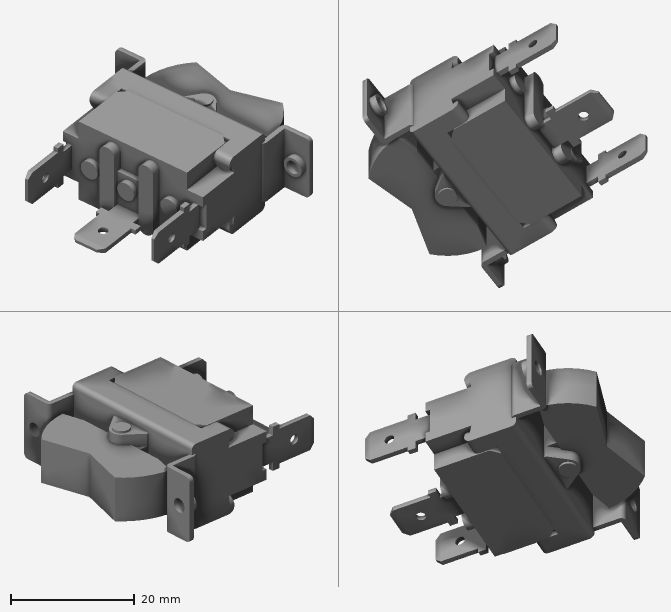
import cadquery as cq
import math


SHEET = 0.9

HOUSING_HALF_LENGTH = 14.4
HOUSING_TOP = 15.55
END_HALF_HEIGHT = 4.48
BLOCK_HALF_LENGTH = 11.15
BLOCK_HALF_HEIGHT = 8.0
BLOCK_TOP = 11.4
BLOCK_CHAMFER = 1.43

RIB_WIDTH = 3.0
RIB_LENGTH = 14.17
RIB_HEIGHT = 1.75
RIB_X = 4.0

ROCKER_RADIUS = 13.05
ROCKER_HALF_HEIGHT = 4.05
SADDLE_HALF_HEIGHT = 3.65
ROCKER_TIP_RISE = 9.53
ROCKER_VALLEY_RISE = 7.0
ROCKER_CORNER_RISE = 1.05
PIVOT_Y = 18.8
POST_HALF_LENGTH = 4.05
POST_HALF_HEIGHT = 6.03
POST_WALL = 0.4
EAR_RADIUS = 2.05
PIN_RADIUS = 1.55
PIN_PROTRUSION = 0.4

BRACKET_HALF_SPAN = 20.0
BRACKET_HALF_HEIGHT = 7.85
BRACKET_TOP = HOUSING_TOP + SHEET
LEG_INNER_Z = BRACKET_HALF_HEIGHT - SHEET
TAB_INNER_X = 13.95
TAB_OUTER_X = TAB_INNER_X + SHEET
TAB_HALF_HEIGHT = POST_HALF_HEIGHT
FLANGE_TOP = 22.0
FLANGE_CORNER_RADIUS = 0.85
EYELET_X = 17.45
EYELET_RADIUS = 1.85
EYELET_HEIGHT = 1.22
EYELET_HOLE_RADIUS = 1.25
HOOK_BEND_Y = 8.3
HOOK_BEND_RADIUS = 1.25
HOOK_BEND_INNER_RADIUS = HOOK_BEND_RADIUS - SHEET
HOOK_BEND_ANGLE = math.radians(101)

PLATE_LENGTH = 7.7
PLATE_HALF_WIDTH = 2.5
RIVET_RADIUS = 1.7
RIVET_HEIGHT = 1.05
RIVET_OFFSET = 5.25
BLADE_LENGTH = 12.38
BLADE_HALF_WIDTH = 3.2
STOP_HALF_WIDTH = 4.07
STOP_START = 3.18
STOP_END = 4.6
BLADE_TIP = 0.98
BLADE_TIP_BEVEL = 0.15
BLADE_HOLE_DEPTH = 7.9
BLADE_HOLE_RADIUS = 0.85
END_BLADE_X = 13.45
CENTRE_BLADE_Z = -RIVET_OFFSET


def box(x0, x1, y0, y1, z0, z1):
    """Box between two opposite corners."""
    return cq.Workplane("XY").box(x1 - x0, y1 - y0, z1 - z0, centered=False).translate((x0, y0, z0))


def centred_box(half_x, y0, y1, half_z):
    """Box centred on X = 0 and Z = 0."""
    return box(-half_x, half_x, y0, y1, -half_z, half_z)


def y_cylinder(x, z, radius, y0, y1):
    """Cylinder along Y."""
    return cq.Workplane("XZ", origin=(x, y0, z)).circle(radius).extrude(y0 - y1)


def hook_bend_point(radius, angle):
    """Point (Y, Z) on the bend of the +Z hooks, at an angle measured from the end of the leg."""
    centre_z = BRACKET_HALF_HEIGHT - HOOK_BEND_RADIUS
    return (HOOK_BEND_Y - radius * math.sin(angle), centre_z + radius * math.cos(angle))


def make_shoulder():
    """Upper half of the housing between the bracket legs, with the ledge that the hooks grip."""
    bend_mid = hook_bend_point(HOOK_BEND_INNER_RADIUS, HOOK_BEND_ANGLE / 2)
    bend_end = hook_bend_point(HOOK_BEND_INNER_RADIUS, HOOK_BEND_ANGLE)
    ledge_y = bend_end[0] - (bend_end[1] - END_HALF_HEIGHT) / math.tan(HOOK_BEND_ANGLE)
    return (
        cq.Workplane("YZ")
        .moveTo(HOUSING_TOP, 0)
        .lineTo(HOUSING_TOP, LEG_INNER_Z)
        .lineTo(HOOK_BEND_Y, LEG_INNER_Z)
        .threePointArc(bend_mid, bend_end)
        .lineTo(ledge_y, END_HALF_HEIGHT)
        .lineTo(ledge_y, 0)
        .close()
        .extrude(HOUSING_HALF_LENGTH, both=True)
    )


def make_ears():
    """Post standing on the housing, rounded about the pivot, with the pivot pin ends."""
    wall_top = BRACKET_TOP + POST_WALL
    corner_drop = PIVOT_Y - wall_top
    corner_distance = math.hypot(POST_HALF_LENGTH, corner_drop)
    tangent_angle = math.acos(EAR_RADIUS / corner_distance) - math.atan2(corner_drop, POST_HALF_LENGTH)
    tangent_x = EAR_RADIUS * math.cos(tangent_angle)
    tangent_y = PIVOT_Y + EAR_RADIUS * math.sin(tangent_angle)
    ears = (
        cq.Workplane("XY")
        .moveTo(-POST_HALF_LENGTH, HOUSING_TOP)
        .lineTo(POST_HALF_LENGTH, HOUSING_TOP)
        .lineTo(POST_HALF_LENGTH, wall_top)
        .lineTo(tangent_x, tangent_y)
        .threePointArc((0, PIVOT_Y + EAR_RADIUS), (-tangent_x, tangent_y))
        .lineTo(-POST_HALF_LENGTH, wall_top)
        .close()
        .extrude(POST_HALF_HEIGHT, both=True)
    )
    saddle = centred_box(POST_HALF_LENGTH, HOUSING_TOP, PIVOT_Y, SADDLE_HALF_HEIGHT)
    pin = (
        cq.Workplane("XY", origin=(0, PIVOT_Y, 0))
        .circle(PIN_RADIUS)
        .extrude(POST_HALF_HEIGHT + PIN_PROTRUSION, both=True)
    )
    return ears.union(saddle).union(pin)


def make_rocker():
    """Winged rocker whose flanks are arcs about the pivot."""
    tip_x = math.sqrt(ROCKER_RADIUS**2 - ROCKER_TIP_RISE**2)
    corner_x = math.sqrt(ROCKER_RADIUS**2 - ROCKER_CORNER_RISE**2)
    tip_angle = math.asin(ROCKER_TIP_RISE / ROCKER_RADIUS)
    corner_angle = math.asin(ROCKER_CORNER_RISE / ROCKER_RADIUS)
    mid_angle = (tip_angle + corner_angle) / 2
    mid_x = ROCKER_RADIUS * math.cos(mid_angle)
    mid_rise = ROCKER_RADIUS * math.sin(mid_angle)
    return (
        cq.Workplane("XY", origin=(0, PIVOT_Y, 0))
        .moveTo(-tip_x, 0)
        .lineTo(tip_x, 0)
        .lineTo(corner_x, ROCKER_CORNER_RISE)
        .threePointArc((mid_x, mid_rise), (tip_x, ROCKER_TIP_RISE))
        .lineTo(0, ROCKER_VALLEY_RISE)
        .lineTo(-tip_x, ROCKER_TIP_RISE)
        .threePointArc((-mid_x, mid_rise), (-corner_x, ROCKER_CORNER_RISE))
        .close()
        .extrude(ROCKER_HALF_HEIGHT, both=True)
    )


def make_housing():
    """Switch housing in one piece with its ribs, pivot post and rocker."""
    block = centred_box(BLOCK_HALF_LENGTH, 0, BLOCK_TOP, BLOCK_HALF_HEIGHT)
    block = block.faces(">Y").edges("|Z").chamfer(BLOCK_CHAMFER)
    shoulder = make_shoulder()
    housing = (
        centred_box(HOUSING_HALF_LENGTH, 0, HOUSING_TOP, END_HALF_HEIGHT)
        .union(shoulder)
        .union(shoulder.mirror("XY"))
        .union(block)
    )
    recess_inner_x = END_BLADE_X - PLATE_LENGTH
    for side in (-1, 1):
        rib = (
            cq.Workplane("XZ", origin=(side * RIB_X, 0, 0))
            .slot2D(RIB_LENGTH, RIB_WIDTH, 90)
            .extrude(RIB_HEIGHT)
        )
        recess_ends = sorted((side * recess_inner_x, side * HOUSING_HALF_LENGTH))
        recess = box(*recess_ends, 0, SHEET, -PLATE_HALF_WIDTH, PLATE_HALF_WIDTH)
        housing = housing.union(rib).cut(recess)
    return housing.union(make_ears()).union(make_rocker())


def make_hook():
    """Hook at +X, +Z: a leg end bent inward over the housing shoulder, with a round tip."""
    width = HOUSING_HALF_LENGTH - BLOCK_HALF_LENGTH
    outer_start = hook_bend_point(HOOK_BEND_RADIUS, 0)
    outer_mid = hook_bend_point(HOOK_BEND_RADIUS, HOOK_BEND_ANGLE / 2)
    outer_end = hook_bend_point(HOOK_BEND_RADIUS, HOOK_BEND_ANGLE)
    inner_start = hook_bend_point(HOOK_BEND_INNER_RADIUS, 0)
    inner_mid = hook_bend_point(HOOK_BEND_INNER_RADIUS, HOOK_BEND_ANGLE / 2)
    inner_end = hook_bend_point(HOOK_BEND_INNER_RADIUS, HOOK_BEND_ANGLE)
    bend = (
        cq.Workplane("YZ", origin=(BLOCK_HALF_LENGTH, 0, 0))
        .moveTo(*outer_start)
        .threePointArc(outer_mid, outer_end)
        .lineTo(*inner_end)
        .threePointArc(inner_mid, inner_start)
        .close()
        .extrude(width)
    )
    tip_plane = cq.Plane(
        origin=(BLOCK_HALF_LENGTH + width / 2, *outer_end),
        xDir=(1, 0, 0),
        normal=(0, math.sin(HOOK_BEND_ANGLE), -math.cos(HOOK_BEND_ANGLE)),
    )
    tip = (
        cq.Workplane(tip_plane)
        .moveTo(-width / 2, 0)
        .threePointArc((0, width / 2), (width / 2, 0))
        .close()
        .extrude(SHEET)
    )
    return bend.union(tip)


def make_tab():
    """Mounting tab at +X: an upright wall, an outward flange and an eyelet."""
    wall = box(TAB_INNER_X, TAB_OUTER_X, BRACKET_TOP, FLANGE_TOP, -TAB_HALF_HEIGHT, TAB_HALF_HEIGHT)
    flange = box(
        TAB_INNER_X, BRACKET_HALF_SPAN, FLANGE_TOP - SHEET, FLANGE_TOP, -TAB_HALF_HEIGHT, TAB_HALF_HEIGHT
    )
    flange = flange.faces(">X").edges("|Y").fillet(FLANGE_CORNER_RADIUS)
    tab = wall.union(flange)
    tab = tab.faces("<X").edges(">Y").fillet(SHEET)
    foot = (
        cq.Workplane("XY", origin=(TAB_INNER_X, BRACKET_TOP, 0))
        .circle(SHEET)
        .extrude(TAB_HALF_HEIGHT, both=True)
        .intersect(
            box(TAB_INNER_X, TAB_OUTER_X, HOUSING_TOP, BRACKET_TOP, -TAB_HALF_HEIGHT, TAB_HALF_HEIGHT)
        )
    )
    eyelet = y_cylinder(EYELET_X, 0, EYELET_RADIUS, FLANGE_TOP - SHEET - EYELET_HEIGHT, FLANGE_TOP - SHEET)
    hole = y_cylinder(EYELET_X, 0, EYELET_HOLE_RADIUS, FLANGE_TOP - SHEET - EYELET_HEIGHT, FLANGE_TOP)
    return tab.union(foot).union(eyelet).cut(hole)


def make_bracket():
    """Sheet-metal bracket that straddles the housing."""
    bracket = centred_box(HOUSING_HALF_LENGTH, HOOK_BEND_Y, BRACKET_TOP, BRACKET_HALF_HEIGHT)
    bracket = bracket.faces(">Y").edges("|X").fillet(SHEET)
    bracket = (
        bracket.cut(centred_box(HOUSING_HALF_LENGTH, HOOK_BEND_Y, HOUSING_TOP, LEG_INNER_Z))
        .cut(centred_box(BLOCK_HALF_LENGTH, HOOK_BEND_Y, BLOCK_TOP, BRACKET_HALF_HEIGHT))
        .cut(centred_box(POST_HALF_LENGTH, HOUSING_TOP, BRACKET_TOP, POST_HALF_HEIGHT))
    )
    tab = make_tab()
    bracket = bracket.union(tab).union(tab.mirror("YZ"))
    hook = make_hook()
    hook_pair = hook.union(hook.mirror("XY"))
    return bracket.union(hook_pair).union(hook_pair.mirror("YZ"))


def make_terminal():
    """L-shaped terminal seated at Y = 0, with the outer face of its blade at X = 0, plate along -X."""
    angle_strip = (
        cq.Workplane("XY")
        .moveTo(-PLATE_LENGTH, 0)
        .lineTo(-SHEET, 0)
        .radiusArc((0, -SHEET), SHEET)
        .lineTo(0, -STOP_START)
        .lineTo(-SHEET, -STOP_START)
        .lineTo(-SHEET, -SHEET)
        .lineTo(-PLATE_LENGTH, -SHEET)
        .close()
        .extrude(PLATE_HALF_WIDTH, both=True)
    )
    stops = box(-SHEET, 0, -STOP_END, -STOP_START, -STOP_HALF_WIDTH, STOP_HALF_WIDTH)
    blade = box(-SHEET, 0, -BLADE_LENGTH, -STOP_END, -BLADE_HALF_WIDTH, BLADE_HALF_WIDTH)
    blade = blade.faces("<Y").edges("|X").chamfer(BLADE_TIP)
    bevel_outline = (
        cq.Workplane("XY")
        .moveTo(0, -STOP_END)
        .lineTo(0, BLADE_TIP - BLADE_LENGTH)
        .lineTo(-BLADE_TIP_BEVEL, -BLADE_LENGTH)
        .lineTo(BLADE_TIP_BEVEL - SHEET, -BLADE_LENGTH)
        .lineTo(-SHEET, BLADE_TIP - BLADE_LENGTH)
        .lineTo(-SHEET, -STOP_END)
        .close()
        .extrude(BLADE_HALF_WIDTH, both=True)
    )
    blade = blade.intersect(bevel_outline)
    hole = cq.Workplane("YZ").center(-BLADE_HOLE_DEPTH, 0).circle(BLADE_HOLE_RADIUS).extrude(-SHEET)
    rivet = y_cylinder(-RIVET_OFFSET, 0, RIVET_RADIUS, -SHEET - RIVET_HEIGHT, -SHEET)
    return angle_strip.union(stops).union(blade).union(rivet).cut(hole)


def make_terminals():
    """Two end terminals sunk in the recesses and a centre terminal on the terminal face."""
    terminal = make_terminal()
    end_terminal = terminal.translate((END_BLADE_X, SHEET, 0))
    centre_terminal = terminal.rotate((0, 0, 0), (0, 1, 0), 90).translate((0, 0, CENTRE_BLADE_Z))
    return [end_terminal, end_terminal.mirror("YZ"), centre_terminal]


housing = make_housing()
bracket = make_bracket()
terminals = make_terminals()

result = cq.Compound.makeCompound(
    [housing.val(), bracket.val(), *[terminal.val() for terminal in terminals]]
)